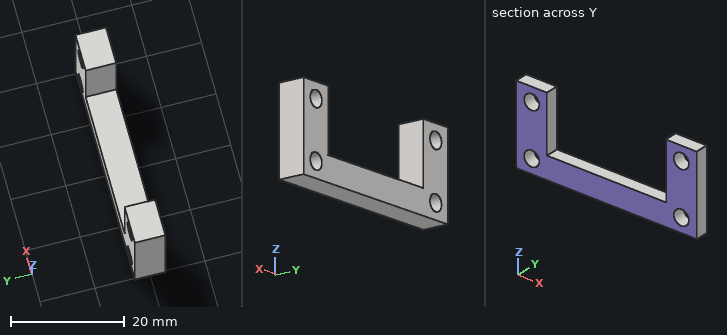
import cadquery as cq

length = 40.64
thickness = 5.588
height = 17.78

arm_width = 6.985
base_height = 5.08

hole_diameter = 3.264
lower_hole_height = 3.175
hole_pitch_z = 11.43
hole_pitch_x = length - arm_width


def bracket_body():
    """U-shaped block, centred in X and Y with its underside at Z = 0."""
    block = cq.Workplane("XY").box(length, thickness, height, centered=(True, True, False))
    gap = (
        cq.Workplane("XY")
        .workplane(offset=base_height)
        .box(length - 2 * arm_width, thickness, height - base_height, centered=(True, True, False))
    )
    return block.cut(gap)


def mounting_holes():
    """Four cylinders running through the full thickness along Y."""
    hole_pattern_centre = lower_hole_height + hole_pitch_z / 2
    return (
        cq.Workplane("XZ")
        .center(0, hole_pattern_centre)
        .rarray(hole_pitch_x, hole_pitch_z, 2, 2)
        .circle(hole_diameter / 2)
        .extrude(thickness / 2, both=True)
    )


result = bracket_body().cut(mounting_holes())